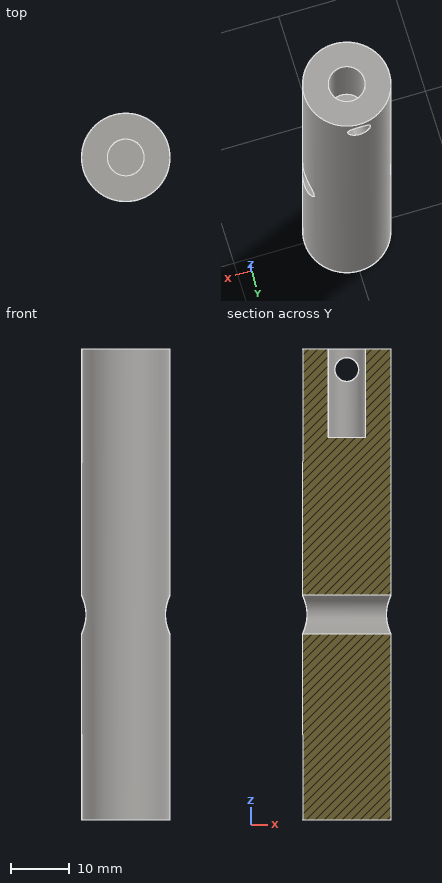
import cadquery as cq

rod_length = 80.0
rod_diameter = 15.0

cross_hole_diameter = 6.6
cross_hole_height = 34.9

bore_diameter = 6.2
bore_depth = 15.0

screw_hole_diameter = 4.0
screw_hole_drop = 3.5

rod = cq.Workplane("XY").circle(rod_diameter / 2).extrude(rod_length)

cross_hole = (
    cq.Workplane("YZ")
    .center(0, cross_hole_height)
    .circle(cross_hole_diameter / 2)
    .extrude(rod_diameter / 2, both=True)
)

bore = (
    cq.Workplane("XY", origin=(0, 0, rod_length - bore_depth))
    .circle(bore_diameter / 2)
    .extrude(bore_depth)
)

screw_hole = (
    cq.Workplane("XZ")
    .center(0, rod_length - screw_hole_drop)
    .circle(screw_hole_diameter / 2)
    .extrude(-rod_diameter / 2)
)

result = rod.cut(cross_hole).cut(bore).cut(screw_hole)